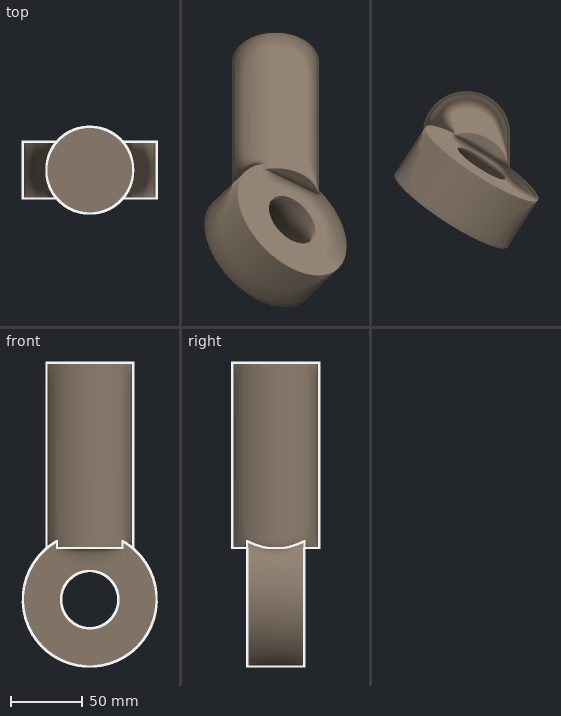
import cadquery as cq

eye_diameter = 94.0
eye_bore_diameter = 40.0
eye_width = 40.0

shank_diameter = 61.0
shank_length = 130.0
shank_bottom_height = 36.0


def cylinder_along_y(diameter, width):
    """Cylinder on the Y axis, centred on the origin."""
    return (
        cq.Workplane("XZ")
        .workplane(offset=-width / 2)
        .circle(diameter / 2)
        .extrude(width)
    )


def make_shank():
    """Plain bar with flat ends; its lower end overlaps the rim of the eye."""
    return (
        cq.Workplane("XY")
        .workplane(offset=shank_bottom_height)
        .circle(shank_diameter / 2)
        .extrude(shank_length)
    )


eye = cylinder_along_y(eye_diameter, eye_width)
bore = cylinder_along_y(eye_bore_diameter, eye_width)

result = eye.union(make_shank()).cut(bore)